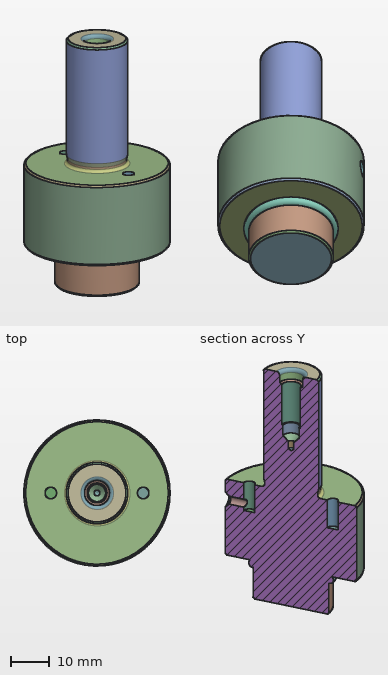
import cadquery as cq
import math

TOTAL_HEIGHT = 67.0
SPIGOT_DIAMETER = 22.0
SPIGOT_HEIGHT = 11.0
BODY_DIAMETER = 38.0
BODY_HEIGHT = 22.0
BODY_TOP = SPIGOT_HEIGHT + BODY_HEIGHT
SHANK_DIAMETER = 16.0
EDGE_CHAMFER = 0.5

NECK_DIAMETER = 15.4
NECK_FILLET = 0.8
UNDERCUT_LENGTH = 2.5
UNDERCUT_RAMP_ANGLE = 15.0

RING_SECTION_DIAMETER = 2.3
RING_CENTRE_DIAMETER = 22.2
RING_BOTTOM = 9.0

MOUTH_DIAMETER = 6.5
MOUTH_LIP_RADIUS = 1.0
MOUTH_DEPTH = 3.0
SEAT_CONE_ANGLE = 120.0
BORE_DIAMETER = 5.2
BORE_DEPTH = 15.0
CORE_DIAMETER = 4.5
CORE_DEPTH = 18.0
CORE_CONE_ANGLE = 90.0
PILOT_DIAMETER = 1.5
PILOT_LENGTH = 2.0
DRILL_POINT_ANGLE = 118.0

PIN_HOLE_DIAMETER = 3.0
PIN_HOLE_OFFSET = 12.0
PIN_HOLE_DEPTH = 8.0

CROSS_HOLE_DIAMETER = 2.11
CROSS_HOLE_HEIGHT = 27.0
COUNTERSINK_DIAMETER = 4.4
COUNTERSINK_ANGLE = 90.0


def cone_length(large_diameter, small_diameter, included_angle):
    """Axial length of a cone between two diameters."""
    return (large_diameter - small_diameter) / 2 / math.tan(math.radians(included_angle / 2))


def make_body():
    """Spigot, body and shank revolved from one half profile."""
    spigot_r = SPIGOT_DIAMETER / 2
    body_r = BODY_DIAMETER / 2
    shank_r = SHANK_DIAMETER / 2
    neck_r = NECK_DIAMETER / 2
    c = EDGE_CHAMFER
    ramp_top = BODY_TOP + UNDERCUT_LENGTH
    ramp_bottom = ramp_top - (shank_r - neck_r) / math.tan(math.radians(UNDERCUT_RAMP_ANGLE))
    fillet_top = BODY_TOP + NECK_FILLET
    fillet_mid = NECK_FILLET * (1 - math.sqrt(0.5))
    return (
        cq.Workplane("XZ")
        .moveTo(0, 0)
        .lineTo(spigot_r - c, 0)
        .lineTo(spigot_r, c)
        .lineTo(spigot_r, SPIGOT_HEIGHT)
        .lineTo(body_r - c, SPIGOT_HEIGHT)
        .lineTo(body_r, SPIGOT_HEIGHT + c)
        .lineTo(body_r, BODY_TOP - c)
        .lineTo(body_r - c, BODY_TOP)
        .lineTo(neck_r + NECK_FILLET, BODY_TOP)
        .threePointArc((neck_r + fillet_mid, BODY_TOP + fillet_mid), (neck_r, fillet_top))
        .lineTo(neck_r, ramp_bottom)
        .lineTo(shank_r, ramp_top)
        .lineTo(shank_r, TOTAL_HEIGHT - c)
        .lineTo(shank_r - c, TOTAL_HEIGHT)
        .lineTo(0, TOTAL_HEIGHT)
        .close()
        .revolve(360, (0, 0, 0), (0, 1, 0))
    )


def make_ring():
    """O-ring, partly sunk into the spigot and the underside of the body."""
    section_r = RING_SECTION_DIAMETER / 2
    centre_r = RING_CENTRE_DIAMETER / 2
    return (
        cq.Workplane("XZ")
        .center(-centre_r, RING_BOTTOM + section_r)
        .circle(section_r)
        .revolve(360, (centre_r, 0, 0), (centre_r, 1, 0))
    )


def make_centre_hole():
    """Round-lipped mouth, conical seat, bore, core hole and pointed pilot."""
    mouth_r = MOUTH_DIAMETER / 2
    bore_r = BORE_DIAMETER / 2
    core_r = CORE_DIAMETER / 2
    pilot_r = PILOT_DIAMETER / 2
    lip_mid = MOUTH_LIP_RADIUS * (1 - math.sqrt(0.5))
    seat_top = TOTAL_HEIGHT - MOUTH_DEPTH
    seat_bottom = seat_top - cone_length(MOUTH_DIAMETER, BORE_DIAMETER, SEAT_CONE_ANGLE)
    bore_bottom = TOTAL_HEIGHT - BORE_DEPTH
    core_bottom = TOTAL_HEIGHT - CORE_DEPTH
    pilot_top = core_bottom - cone_length(CORE_DIAMETER, PILOT_DIAMETER, CORE_CONE_ANGLE)
    pilot_bottom = pilot_top - PILOT_LENGTH
    tip = pilot_bottom - cone_length(PILOT_DIAMETER, 0, DRILL_POINT_ANGLE)
    return (
        cq.Workplane("XZ")
        .moveTo(0, TOTAL_HEIGHT)
        .lineTo(mouth_r + MOUTH_LIP_RADIUS, TOTAL_HEIGHT)
        .threePointArc(
            (mouth_r + lip_mid, TOTAL_HEIGHT - lip_mid),
            (mouth_r, TOTAL_HEIGHT - MOUTH_LIP_RADIUS),
        )
        .lineTo(mouth_r, seat_top)
        .lineTo(bore_r, seat_bottom)
        .lineTo(bore_r, bore_bottom)
        .lineTo(core_r, bore_bottom)
        .lineTo(core_r, core_bottom)
        .lineTo(pilot_r, pilot_top)
        .lineTo(pilot_r, pilot_bottom)
        .lineTo(0, tip)
        .close()
        .revolve(360, (0, 0, 0), (0, 1, 0))
    )


def make_pin_holes():
    """Two blind holes on the X axis, either side of the shank."""
    return (
        cq.Workplane("XY")
        .workplane(offset=BODY_TOP - PIN_HOLE_DEPTH)
        .pushPoints([(-PIN_HOLE_OFFSET, 0), (PIN_HOLE_OFFSET, 0)])
        .circle(PIN_HOLE_DIAMETER / 2)
        .extrude(PIN_HOLE_DEPTH)
    )


def make_cross_hole():
    """Countersunk radial hole from the -X side to the axis of the pin hole."""
    body_r = BODY_DIAMETER / 2
    hole_r = CROSS_HOLE_DIAMETER / 2
    sink_r = COUNTERSINK_DIAMETER / 2
    sink_depth = cone_length(COUNTERSINK_DIAMETER, CROSS_HOLE_DIAMETER, COUNTERSINK_ANGLE)
    return (
        cq.Workplane("XZ")
        .moveTo(-body_r, CROSS_HOLE_HEIGHT)
        .lineTo(-body_r, CROSS_HOLE_HEIGHT + sink_r)
        .lineTo(-body_r + sink_depth, CROSS_HOLE_HEIGHT + hole_r)
        .lineTo(-PIN_HOLE_OFFSET, CROSS_HOLE_HEIGHT + hole_r)
        .lineTo(-PIN_HOLE_OFFSET, CROSS_HOLE_HEIGHT)
        .close()
        .revolve(360, (-body_r, CROSS_HOLE_HEIGHT, 0), (0, CROSS_HOLE_HEIGHT, 0))
    )


result = (
    make_body()
    .union(make_ring())
    .cut(make_centre_hole())
    .cut(make_pin_holes())
    .cut(make_cross_hole())
)